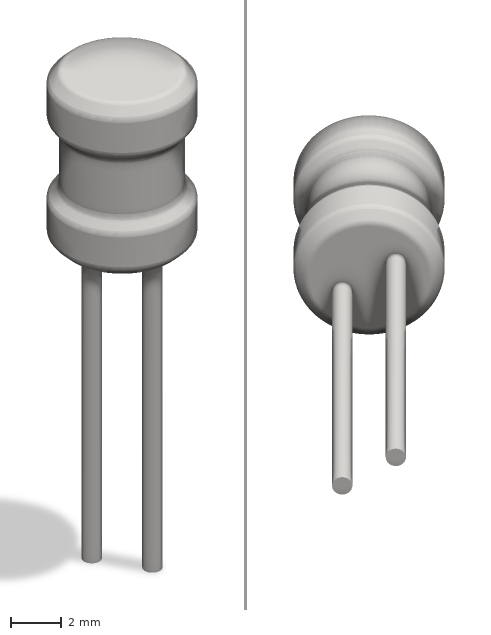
import cadquery as cq

total_height = 23.0
core_height = 8.0
lead_length = total_height - core_height

flange_diameter = 6.0
neck_diameter = 5.0
flange_height = 2.67
edge_round = 0.32

lead_diameter = 0.8
lead_spacing = 2.5


def make_core():
    """Spool with two bevelled flanges; every profile corner is rounded."""
    flange_radius = flange_diameter / 2
    neck_radius = neck_diameter / 2
    bevel = flange_radius - neck_radius
    core_bottom = lead_length
    core_top = total_height
    lower_flange_top = core_bottom + flange_height
    upper_flange_bottom = core_top - flange_height
    profile = [
        (0, core_bottom),
        (neck_radius, core_bottom),
        (flange_radius, core_bottom + bevel),
        (flange_radius, lower_flange_top - bevel),
        (neck_radius, lower_flange_top),
        (neck_radius, upper_flange_bottom),
        (flange_radius, upper_flange_bottom + bevel),
        (flange_radius, core_top - bevel),
        (neck_radius, core_top),
        (0, core_top),
    ]
    spool = cq.Workplane("XZ").polyline(profile).close().revolve(360, (0, 0), (0, 1))
    return spool.edges("%CIRCLE").fillet(edge_round)


def make_lead(x_position):
    """Straight round wire that ends against the underside of the core."""
    return cq.Workplane("XY").center(x_position, 0).circle(lead_diameter / 2).extrude(lead_length)


core = make_core()
leads = [make_lead(side * lead_spacing / 2) for side in (-1, 1)]

result = cq.Compound.makeCompound([core.val(), *[lead.val() for lead in leads]])